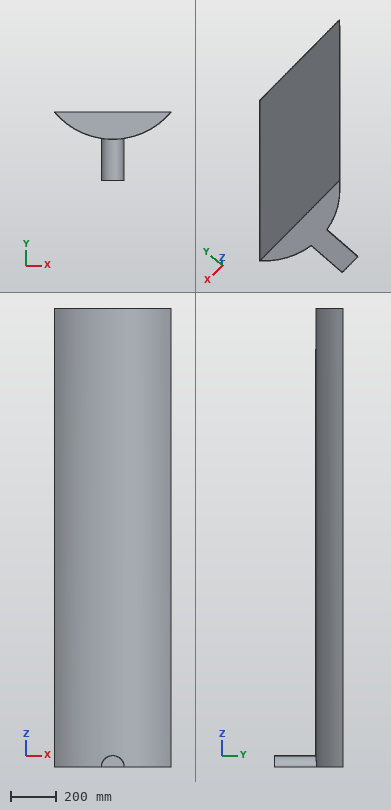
import cadquery as cq

height = 2000.0
chord_width = 510.0
bulge_depth = 120.0
total_depth = 300.0
spout_radius = 50.0


def make_column():
    """Upright column: a circular segment with a flat back at Y = 0, bulging toward -Y."""
    half_width = chord_width / 2
    return (
        cq.Workplane("XY")
        .moveTo(-half_width, 0)
        .threePointArc((0, -bulge_depth), (half_width, 0))
        .close()
        .extrude(height)
    )


def make_spout():
    """Half-round bar at the foot, running from the flat back out past the bulge."""
    return (
        cq.Workplane("XZ")
        .moveTo(-spout_radius, 0)
        .threePointArc((0, spout_radius), (spout_radius, 0))
        .close()
        .extrude(total_depth)
    )


result = make_column().union(make_spout())